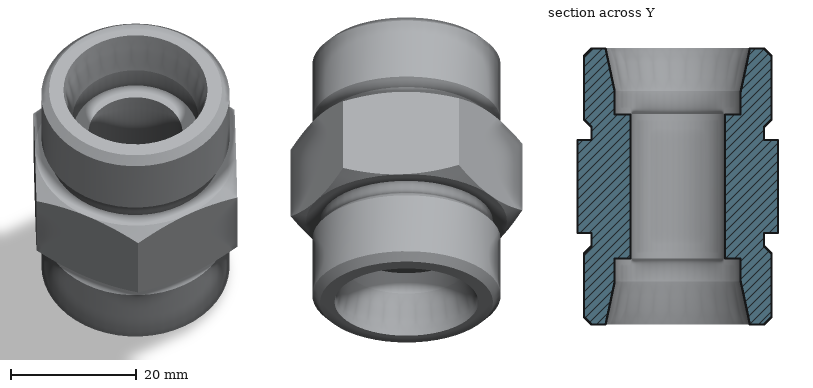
import cadquery as cq
import math

length = 44.0
half_length = length / 2

hex_flats = 32.0
hex_height = 14.85
hex_corners = hex_flats / math.cos(math.radians(30))
hex_chamfer_angle = 30.0

thread_radius = 30.0 / 2
neck_radius = 27.55 / 2
neck_length = 2.02
end_chamfer = thread_radius - neck_radius

bore_diameter = 15.0
socket_radius = 20.0 / 2
mouth_radius = 22.92 / 2
taper_half_angle = 12.0
taper_depth = (mouth_radius - socket_radius) / math.tan(math.radians(taper_half_angle))
socket_depth = 10.5


def revolve_profile(points):
    """Turn a closed (radius, height) profile around the Z axis."""
    return cq.Workplane("XZ").polyline(points).close().revolve(360, (0, 0, 0), (0, 1, 0))


def make_hexagon():
    """Hexagon with both end faces turned down to the circle inside its flats."""
    half_height = hex_height / 2
    face_radius = hex_flats / 2
    corner_radius = hex_corners / 2
    corner_drop = (corner_radius - face_radius) * math.tan(math.radians(hex_chamfer_angle))
    prism = (
        cq.Workplane("XY")
        .polygon(6, hex_corners)
        .extrude(half_height, both=True)
        .rotate((0, 0, 0), (0, 0, 1), 30)
    )
    envelope = revolve_profile([
        (0, -half_height),
        (face_radius, -half_height),
        (corner_radius, -half_height + corner_drop),
        (corner_radius, half_height - corner_drop),
        (face_radius, half_height),
        (0, half_height),
    ])
    return prism.intersect(envelope)


def make_upper_end():
    """Neck and chamfered thread cylinder, from the mid-plane to the end face."""
    neck_end = hex_height / 2 + neck_length
    return revolve_profile([
        (0, 0),
        (neck_radius, 0),
        (neck_radius, neck_end),
        (thread_radius, neck_end + end_chamfer),
        (thread_radius, half_length - end_chamfer),
        (neck_radius, half_length),
        (0, half_length),
    ])


def make_upper_socket():
    """Flat-bottomed tube socket with a tapered mouth, as a cutting body."""
    socket_floor = half_length - socket_depth
    return revolve_profile([
        (0, socket_floor),
        (socket_radius, socket_floor),
        (socket_radius, half_length - taper_depth),
        (mouth_radius, half_length),
        (0, half_length),
    ])


upper_end = make_upper_end()
upper_socket = make_upper_socket()
bore = cq.Workplane("XY").circle(bore_diameter / 2).extrude(half_length, both=True)

body = make_hexagon().union(upper_end).union(upper_end.mirror("XY"))
result = body.cut(upper_socket).cut(upper_socket.mirror("XY")).cut(bore)